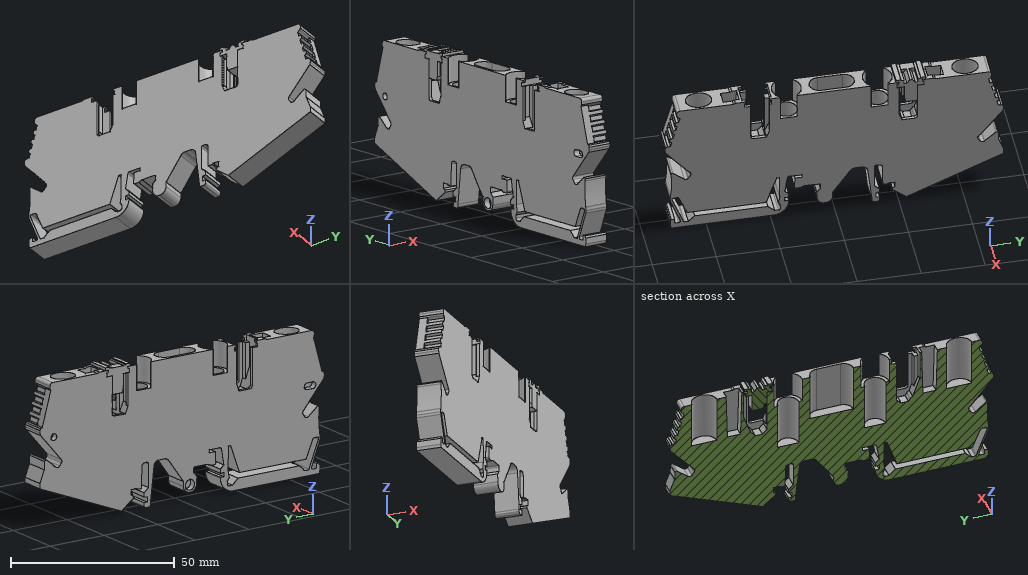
import cadquery as cq
import math


WIDTH = 8.1
HALF_WIDTH = WIDTH / 2
HEIGHT = 47.6
HALF_LENGTH = 52.9

DECK_Z = 46.3
PLATEAU_Z = 46.7
PLATEAU_HALF_LENGTH = 30.9
PLATEAU_STEP = 0.6

TOP_CORNER_Y = 49.2
TOP_CORNER_R = 1.1
TOP_LIP_Z = 44.4
END_SLOPE_TOP = (48.9, 43.9)
END_SLOPE_BOTTOM = (52.1, 32.6)
NOSE_TOP = (52.7, 32.4)
NOSE_UPPER_Z = 31.7
NOSE_LOWER_Z = 31.0
NOSE_BOTTOM = (52.7, 30.2)
NOTCH_R = 0.8
NOTCH_UPPER_CORNER = (44.5, 20.6)
NOTCH_LOWER_CORNER = (46.1, 18.4)
NOTCH_TIP = (50.7, 22.1)
NOTCH_TIP_R = 0.3

FOOT_TOP_Z = 14.7
BOSS_Y = -2.9
BOSS_Z = 4.8
BOSS_HALF = 2.4
BOSS_R = 2.3
BOSS_BOTTOM_Z = BOSS_Z - BOSS_HALF
BOSS_HOLE_R = 1.7
BLIND_DEPTH = 2.1
FOOT_HEEL_R = 4.9

LOCATING_Z = 28.8
LOCATING_R = 1.1
LOCATING_HOLE_Y = 47.7
LOCATING_SLOT_Y = -47.5
LOCATING_SLOT_LENGTH = 4.2

WELL_DEPTH = 15.9
WIRE_WELL_Y = 41.6
WIRE_WELL_LENGTH = 8.0
WIRE_WELL_WIDTH = 6.9
TEST_POCKET_Y = (29.4, 34.4)
TEST_POCKET_TAPER = 0.4
TEST_POCKET_X = (-1.8, 2.4)
OVAL_WELL_LENGTH = 14.0
OVAL_WELL_WIDTH = 6.1
SCREW_WELL_Y = 14.2
SCREW_WELL_R = 4.5
SCREW_WELL_MOUTH = 5.2
SCREW_WELL_FLOOR_Z = 38.3
SCREW_HOLE_R = 3.4

SLOT_INNER_Y = 21.2
SLOT_OUTER_Y = 26.0
SLOT_FLOOR_Z = 31.6
SLOT_FLOOR_R = 1.0
HEAD_FLOOR_Z = 44.6
HEAD_INNER_Y = 19.6
HEAD_OUTER_Y = 28.0
HEAD_BULGE_Z = 45.7
NECK_INNER_Y = 20.2
NECK_OUTER_Y = 27.5
NECK_Z = 46.1

CHAMBER_WIDTH = 6.0
CHAMBER_OUTER_Y = 28.7
CHAMBER_SLOPE_TOP_Z = 36.8
CHAMBER_SLOPE_FOOT = (26.3, 30.5)
CHAMBER_SHELF = (25.6, 29.8)
CHAMBER_FLOOR_Z = 28.9
CHAMBER_FLOOR_Y = (22.6, 25.0)
POST_INNER_X = 1.4
POST_INNER_Y = 27.3

GROOVE_SLOPE_TOP_Z = 34.8
GROOVE_BACK_Y = 19.9
LAND_ROOT_HALF = 1.2
LAND_FACE_HALF = 1.0

GRIP_START_X = -1.3
GRIP_COUNT = 4
GRIP_TOP_Z = 43.9
GRIP_PITCH = 3.1
GRIP_HEIGHT = 2.0
GRIP_WALL_RISE = 0.6
GRIP_DEPTH = 0.8

MARKER_LIP_OUTER_Y = 28.6
MARKER_LIP_INNER_Y = 19.3
MARKER_LIP_WIDTH = 1.6
MARKER_FACE_Z = 47.3
MARKER_LEG_INNER_Y = 21.9
MARKER_LEG_BOTTOM_Z = 38.6
MARKER_LEG_CHAMFER_Y = 0.4
MARKER_LEG_CHAMFER_Z = 1.3
MARKER_RIB_BOTTOM_Z = 40.2
MARKER_GROOVE_OUTER_Y = 26.1
MARKER_GROOVE_INNER_Y = 21.8
MARKER_PANEL_DEPTH = 0.1
MARKER_TOOTH_HALF = 0.3
MARKER_GROOVE_FLOOR = 0.8
MARKER_GROOVE_DEPTH = 1.3


def prism(points, x_start, x_end):
    """Straight-sided YZ outline carried from x_start to x_end."""
    return cq.Workplane("YZ").workplane(offset=x_start).polyline(points).close().extrude(x_end - x_start)


def rounded_prism(corners, x_start, x_end):
    """YZ outline whose corners are (y, z) or (y, z, radius), carried from x_start to x_end."""
    sections = []
    for index, corner in enumerate(corners):
        y, z = corner[:2]
        if len(corner) == 2:
            sections.append([(y, z)])
            continue
        radius = corner[2]
        before = corners[index - 1]
        after = corners[(index + 1) % len(corners)]
        angle_in = math.atan2(before[1] - z, before[0] - y)
        angle_out = math.atan2(after[1] - z, after[0] - y)
        half = abs(math.remainder(angle_out - angle_in, math.tau)) / 2
        bisector = angle_in + math.remainder(angle_out - angle_in, math.tau) / 2
        tangent = radius / math.tan(half)
        to_middle = radius / math.sin(half) - radius
        sections.append([
            (y + tangent * math.cos(angle_in), z + tangent * math.sin(angle_in)),
            (y + to_middle * math.cos(bisector), z + to_middle * math.sin(bisector)),
            (y + tangent * math.cos(angle_out), z + tangent * math.sin(angle_out)),
        ])
    wire = cq.Workplane("YZ").workplane(offset=x_start).moveTo(*sections[0][0])
    for index, section in enumerate(sections):
        if index > 0:
            wire = wire.lineTo(*section[0])
        if len(section) == 3:
            wire = wire.threePointArc(section[1], section[2])
    return wire.close().extrude(x_end - x_start)


def flip_y(corners):
    """Mirror corners to the other side of the middle, keeping any radius."""
    return [(-corner[0], *corner[1:]) for corner in corners]


def outward(side, body):
    """Body drawn on the +Y side, mirrored when side is -1."""
    return body if side > 0 else body.mirror("XZ")


def housing_blank():
    """Housing plate: the outline runs from the +Y end, along the underside, back up the -Y end."""
    upper_end = [
        (PLATEAU_HALF_LENGTH, PLATEAU_Z),
        (PLATEAU_HALF_LENGTH + PLATEAU_STEP, DECK_Z),
        (TOP_CORNER_Y, DECK_Z, TOP_CORNER_R),
        (TOP_CORNER_Y, TOP_LIP_Z),
        END_SLOPE_TOP,
        END_SLOPE_BOTTOM,
        NOSE_TOP,
        (HALF_LENGTH, NOSE_UPPER_Z),
        (HALF_LENGTH, NOSE_LOWER_Z),
        NOSE_BOTTOM,
        (*NOTCH_UPPER_CORNER, NOTCH_R),
        (*NOTCH_LOWER_CORNER, NOTCH_R),
        (*NOTCH_TIP, NOTCH_TIP_R),
    ]
    keel = [
        (51.2, 21.6), (51.3, 18.9), (HALF_LENGTH, 14.8), (HALF_LENGTH, 13.0), (22.5, 0.6),
        (18.0, 4.2), (18.1, 4.9), (18.9, 5.3), (18.9, 7.0), (16.9, 7.0), (16.6, 6.7), (15.1, 6.7),
    ]
    spring_leg = [
        (15.0, FOOT_TOP_Z, 1.1), (12.6, FOOT_TOP_Z, 0.5), (12.6, 6.6), (14.2, 5.2), (14.2, 3.8),
        (13.0, 3.6), (13.0, 2.0), (14.2, 2.0), (14.2, 0.2, 0.6), (11.7, 0.2, 0.6), (11.7, 1.6),
        (10.3, FOOT_TOP_Z, 1.9), (5.6, FOOT_TOP_Z, 1.9),
    ]
    pin_boss = [
        (BOSS_Y + BOSS_HALF, 6.2), (BOSS_Y + BOSS_HALF, BOSS_BOTTOM_Z, BOSS_R),
        (BOSS_Y - BOSS_HALF, BOSS_BOTTOM_Z, BOSS_R),
        (-5.5, 7.1), (-4.3, 8.4), (-4.3, 10.2, 0.4), (-9.3, 10.2), (-10.6, 9.6), (-12.5, 9.6, 0.5),
    ]
    rail_hook = [
        (-12.3, 13.8), (-10.0, 13.8), (-10.0, FOOT_TOP_Z), (-14.5, FOOT_TOP_Z, 0.6), (-15.4, 9.0),
        (-14.2, 7.8), (-14.2, 6.5), (-15.4, 6.5), (-15.4, 5.2), (-14.2, 5.2),
    ]
    lower_bar = [
        (-14.2, 0.0, FOOT_HEEL_R), (-51.0, 0.0), (-51.2, 1.0), (-51.2, 2.9), (-50.9, 3.5),
        (-49.8, 3.5), (-49.8, 1.9, 0.3), (-47.8, 1.9, 0.5), (-51.2, 10.7),
        (-51.3, 11.5), (-51.2, 12.6), (-50.6, 16.7, 33.9), (-51.0, 21.5),
    ]
    outline = upper_end + keel + spring_leg + pin_boss + rail_hook + lower_bar
    outline += flip_y(reversed(upper_end))
    return rounded_prism(outline, -HALF_WIDTH, HALF_WIDTH)


def foot_window():
    """Opening that frees the springy lower bar of the foot."""
    outline = [
        (-17.1, FOOT_TOP_Z), (-18.0, FOOT_TOP_Z), (-21.3, 5.5), (-46.0, 5.5), (-48.7, 11.8, 0.5),
        (-50.9, 11.8, 0.5), (-47.0, 1.9, 0.3), (-45.6, 1.9), (-43.6, 3.8), (-20.7, 3.8),
        (-18.6, 1.9), (-16.8, 1.9, 0.6), (-16.8, 3.6), (-17.5, 4.5), (-17.0, 7.0),
    ]
    return rounded_prism(outline, -HALF_WIDTH, HALF_WIDTH)


def locating_recesses():
    face = cq.Workplane("YZ").workplane(offset=-HALF_WIDTH)
    hole = face.center(LOCATING_HOLE_Y, LOCATING_Z).circle(LOCATING_R).extrude(BLIND_DEPTH)
    slot_center = face.center(LOCATING_SLOT_Y, LOCATING_Z)
    slot = slot_center.slot2D(LOCATING_SLOT_LENGTH, 2 * LOCATING_R).extrude(BLIND_DEPTH)
    boss_hole = face.center(BOSS_Y, BOSS_Z).circle(BOSS_HOLE_R).extrude(BLIND_DEPTH)
    return hole.union(slot).union(boss_hole)


def oval_well():
    top = cq.Workplane("XY").workplane(offset=PLATEAU_Z)
    return top.slot2D(OVAL_WELL_LENGTH, OVAL_WELL_WIDTH, 90).extrude(-WELL_DEPTH)


def wire_well(side):
    top = cq.Workplane("XY").workplane(offset=DECK_Z).center(0, side * WIRE_WELL_Y)
    return top.ellipse(WIRE_WELL_WIDTH / 2, WIRE_WELL_LENGTH / 2).extrude(-WELL_DEPTH)


def test_pocket(side):
    near, far = TEST_POCKET_Y
    floor_z = PLATEAU_Z - WELL_DEPTH
    outline = [
        (near, PLATEAU_Z), (far, PLATEAU_Z),
        (far - TEST_POCKET_TAPER, floor_z), (near + TEST_POCKET_TAPER, floor_z),
    ]
    return outward(side, prism(outline, *TEST_POCKET_X))


def screw_well(side):
    """Wide well opening through both faces by a straight mouth, with a narrower hole in its floor."""
    floor = cq.Workplane("XY").workplane(offset=SCREW_WELL_FLOOR_Z).center(0, side * SCREW_WELL_Y)
    depth = PLATEAU_Z - SCREW_WELL_FLOOR_Z
    well = floor.circle(SCREW_WELL_R).extrude(depth)
    mouth = floor.rect(WIDTH, SCREW_WELL_MOUTH).extrude(depth)
    return well.union(mouth).union(floor.circle(SCREW_HOLE_R).extrude(-WELL_DEPTH))


def head_sides():
    """Undercut flanks of the slot mouth and marker head: inner one upward, outer one downward."""
    inner = [
        (HEAD_INNER_Y, HEAD_FLOOR_Z), (HEAD_INNER_Y, HEAD_BULGE_Z),
        (NECK_INNER_Y, NECK_Z), (NECK_INNER_Y, PLATEAU_Z),
    ]
    outer = [
        (NECK_OUTER_Y, PLATEAU_Z), (NECK_OUTER_Y, NECK_Z),
        (HEAD_OUTER_Y, HEAD_BULGE_Z), (HEAD_OUTER_Y, HEAD_FLOOR_Z),
    ]
    return inner, outer


def slot_opening():
    inner, outer = head_sides()
    outline = inner + outer + [
        (SLOT_OUTER_Y, HEAD_FLOOR_Z), (SLOT_OUTER_Y, SLOT_FLOOR_Z, SLOT_FLOOR_R),
        (SLOT_INNER_Y, SLOT_FLOOR_Z), (SLOT_INNER_Y, HEAD_FLOOR_Z),
    ]
    return rounded_prism(outline, -HALF_WIDTH, HALF_WIDTH)


def slot_side_grooves():
    """Pair of stepped grooves beside the land, closed below by a steep slope."""
    plan = [
        (LAND_FACE_HALF, SLOT_INNER_Y), (LAND_ROOT_HALF, GROOVE_BACK_Y),
        (CHAMBER_WIDTH / 2, GROOVE_BACK_Y), (CHAMBER_WIDTH / 2, NECK_INNER_Y),
        (HALF_WIDTH, NECK_INNER_Y), (HALF_WIDTH, SLOT_INNER_Y),
    ]
    column = cq.Workplane("XY").workplane(offset=SLOT_FLOOR_Z).polyline(plan).close()
    column = column.extrude(HEAD_FLOOR_Z - SLOT_FLOOR_Z)
    profile = [
        (SLOT_INNER_Y, SLOT_FLOOR_Z), (GROOVE_BACK_Y, GROOVE_SLOPE_TOP_Z),
        (GROOVE_BACK_Y, HEAD_FLOOR_Z), (SLOT_INNER_Y, HEAD_FLOOR_Z),
    ]
    groove = column.intersect(prism(profile, 0, HALF_WIDTH))
    return groove.union(groove.mirror("YZ"))


def contact_chamber():
    """Chamber between the slot cheeks, with sloping walls running down to a sunken floor."""
    half = CHAMBER_WIDTH / 2
    floor_near, floor_far = CHAMBER_FLOOR_Y
    outline = [
        (HEAD_INNER_Y, PLATEAU_Z), (CHAMBER_OUTER_Y, PLATEAU_Z), (CHAMBER_OUTER_Y, CHAMBER_SLOPE_TOP_Z),
        CHAMBER_SLOPE_FOOT, CHAMBER_SHELF, (floor_far, CHAMBER_FLOOR_Z), (floor_near, CHAMBER_FLOOR_Z),
        (SLOT_INNER_Y, CHAMBER_FLOOR_Z + floor_near - SLOT_INNER_Y),
        (SLOT_INNER_Y, HEAD_FLOOR_Z), (HEAD_INNER_Y, HEAD_FLOOR_Z),
    ]
    post = [
        (POST_INNER_Y, CHAMBER_FLOOR_Z), (CHAMBER_OUTER_Y, CHAMBER_FLOOR_Z),
        (CHAMBER_OUTER_Y, HEAD_FLOOR_Z), (POST_INNER_Y, HEAD_FLOOR_Z),
    ]
    return prism(outline, -half, half).cut(prism(post, POST_INNER_X, half))


def marker_slot(side):
    opening = slot_opening().union(slot_side_grooves()).union(contact_chamber())
    return outward(side, opening)


def end_grip_groove(side, top_z):
    """One groove across the sloping end face, open towards +X."""
    slope = (END_SLOPE_BOTTOM[0] - END_SLOPE_TOP[0]) / (END_SLOPE_TOP[1] - END_SLOPE_BOTTOM[1])

    def face_y(z):
        return END_SLOPE_TOP[0] + slope * (END_SLOPE_TOP[1] - z)

    shoulder_z = top_z - GRIP_WALL_RISE
    bottom_z = top_z - GRIP_HEIGHT
    outline = [
        (face_y(top_z), top_z), (face_y(shoulder_z) - GRIP_DEPTH, shoulder_z),
        (face_y(bottom_z) - GRIP_DEPTH, bottom_z), (face_y(bottom_z), bottom_z),
    ]
    return outward(side, prism(outline, GRIP_START_X, HALF_WIDTH))


def build_housing():
    body = housing_blank().cut(foot_window()).cut(locating_recesses()).cut(oval_well())
    for side in (1, -1):
        for cutter in (wire_well, test_pocket, screw_well, marker_slot):
            body = body.cut(cutter(side))
        for row in range(GRIP_COUNT):
            body = body.cut(end_grip_groove(side, GRIP_TOP_Z - row * GRIP_PITCH))
    return body


def marker_groove(wall_y, direction):
    """Groove in the marker face: upright at wall_y, sloping up to the middle tooth."""
    middle_y = (MARKER_GROOVE_OUTER_Y + MARKER_GROOVE_INNER_Y) / 2
    floor_z = MARKER_FACE_Z - MARKER_GROOVE_DEPTH
    outline = [
        (wall_y, MARKER_FACE_Z), (wall_y, floor_z),
        (wall_y + direction * MARKER_GROOVE_FLOOR, floor_z),
        (middle_y - direction * MARKER_TOOTH_HALF, MARKER_FACE_Z),
    ]
    return prism(outline, GRIP_START_X, HALF_WIDTH)


def marker_panel():
    """Shallow full-width recess in the marker face that frames the grooves."""
    panel_z = MARKER_FACE_Z - MARKER_PANEL_DEPTH
    outline = [
        (MARKER_GROOVE_INNER_Y, panel_z), (MARKER_GROOVE_OUTER_Y, panel_z),
        (MARKER_GROOVE_OUTER_Y, MARKER_FACE_Z), (MARKER_GROOVE_INNER_Y, MARKER_FACE_Z),
    ]
    return prism(outline, -HALF_WIDTH, HALF_WIDTH)


def build_marker():
    inner, outer = head_sides()
    leg = [
        (SLOT_OUTER_Y, HEAD_FLOOR_Z), (SLOT_OUTER_Y, MARKER_LEG_BOTTOM_Z),
        (MARKER_LEG_INNER_Y + MARKER_LEG_CHAMFER_Y, MARKER_LEG_BOTTOM_Z),
        (MARKER_LEG_INNER_Y, MARKER_LEG_BOTTOM_Z + MARKER_LEG_CHAMFER_Z),
        (MARKER_LEG_INNER_Y, HEAD_FLOOR_Z),
    ]
    face = [
        (MARKER_LIP_INNER_Y, PLATEAU_Z), (MARKER_LIP_INNER_Y, HEIGHT),
        (MARKER_LIP_INNER_Y + MARKER_LIP_WIDTH, HEIGHT),
        (MARKER_LIP_INNER_Y + MARKER_LIP_WIDTH, MARKER_FACE_Z),
        (MARKER_LIP_OUTER_Y - MARKER_LIP_WIDTH, MARKER_FACE_Z),
        (MARKER_LIP_OUTER_Y - MARKER_LIP_WIDTH, HEIGHT),
        (MARKER_LIP_OUTER_Y, HEIGHT), (MARKER_LIP_OUTER_Y, PLATEAU_Z),
    ]
    rib = [
        (SLOT_INNER_Y, HEAD_FLOOR_Z), (MARKER_LEG_INNER_Y, HEAD_FLOOR_Z),
        (MARKER_LEG_INNER_Y, MARKER_RIB_BOTTOM_Z), (SLOT_INNER_Y, MARKER_RIB_BOTTOM_Z),
    ]
    body = prism(inner + face + outer + leg, -HALF_WIDTH, HALF_WIDTH)
    body = body.union(prism(rib, -CHAMBER_WIDTH / 2, CHAMBER_WIDTH / 2))
    body = body.cut(marker_panel())
    body = body.cut(marker_groove(MARKER_GROOVE_OUTER_Y, -1))
    return body.cut(marker_groove(MARKER_GROOVE_INNER_Y, 1))


housing = build_housing()
marker = build_marker()
result = cq.Compound.makeCompound([housing.solids().val(), marker.solids().val()])